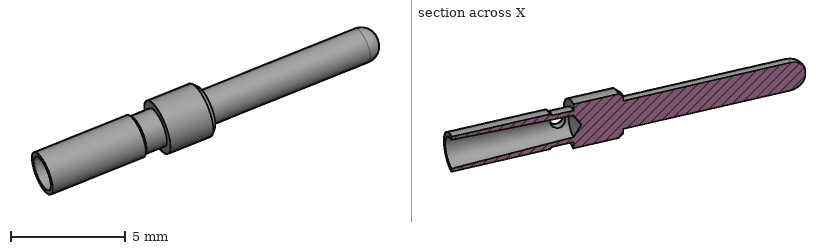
import cadquery as cq
import math

length = 16.5
pin_diameter = 1.6
tip_radius = 0.73
collar_diameter = 2.5
collar_start = 5.68
collar_end = 8.0
collar_chamfer = 0.21
neck_diameter = 1.8
barrel_diameter = 2.0
barrel_end = 4.69
bore_mouth_diameter = 1.6
bore_end_diameter = 1.2
bore_depth = 5.68
drill_point_angle = 118.0
inspection_hole_diameter = 0.7

pin_radius = pin_diameter / 2
collar_radius = collar_diameter / 2
neck_radius = neck_diameter / 2
barrel_radius = barrel_diameter / 2
bore_end_radius = bore_end_diameter / 2
barrel_chamfer = barrel_radius - neck_radius
inspection_hole_y = (barrel_end + collar_start) / 2


def turned_body():
    """Solid of revolution with the rounded pin tip, collar, neck and barrel."""
    arc_offset = tip_radius * math.sqrt(0.5)
    arc_center_radius = pin_radius - tip_radius
    arc_center_y = length - tip_radius
    profile = (
        cq.Workplane("XY")
        .moveTo(0, 0)
        .lineTo(barrel_radius, 0)
        .lineTo(barrel_radius, barrel_end - barrel_chamfer)
        .lineTo(neck_radius, barrel_end)
        .lineTo(neck_radius, collar_start)
        .lineTo(collar_radius, collar_start)
        .lineTo(collar_radius, collar_end - collar_chamfer)
        .lineTo(collar_radius - collar_chamfer, collar_end)
        .lineTo(pin_radius, collar_end)
        .lineTo(pin_radius, arc_center_y)
        .threePointArc(
            (arc_center_radius + arc_offset, arc_center_y + arc_offset),
            (arc_center_radius, length),
        )
        .lineTo(0, length)
        .close()
    )
    return profile.revolve(360, (0, 0, 0), (0, 1, 0))


def wire_bore():
    """Blind bore tapering inward from the mouth, with a conical drill point."""
    point_depth = bore_end_radius / math.tan(math.radians(drill_point_angle / 2))
    profile = (
        cq.Workplane("XY")
        .moveTo(0, 0)
        .lineTo(bore_mouth_diameter / 2, 0)
        .lineTo(bore_end_radius, bore_depth)
        .lineTo(0, bore_depth + point_depth)
        .close()
    )
    return profile.revolve(360, (0, 0, 0), (0, 1, 0))


def inspection_hole():
    """Cross hole through the -X wall of the neck, ending inside the bore."""
    return (
        cq.Workplane("YZ", origin=(-neck_radius, 0, 0))
        .center(inspection_hole_y, 0)
        .circle(inspection_hole_diameter / 2)
        .extrude(neck_radius)
    )


result = turned_body().cut(wire_bore()).cut(inspection_hole())